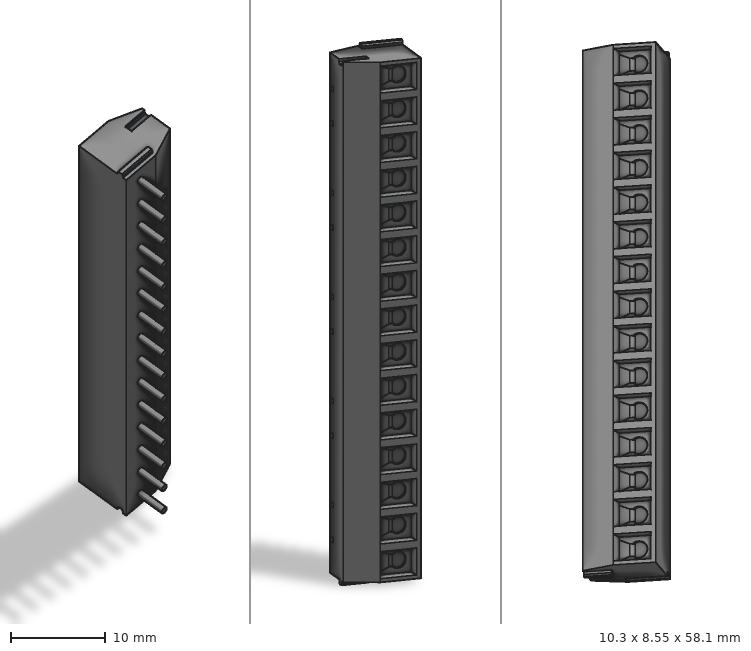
import cadquery as cq
import math

overall_height = 58.15
pole_count = 15

width = 6.8
depth = 8.25
height = 57.15
pitch = height / pole_count
rib_height = (overall_height - height) / 2
base_z = rib_height
top_z = base_z + height
shoulder_y = 4.6
back_left_x = 1.45
back_right_x = 5.45

middle_z = overall_height / 2
first_pole_z = middle_z - (pole_count - 1) * pitch / 2
pole_heights = [first_pole_z + i * pitch for i in range(pole_count)]

rib_bevel = 0.145
rib_flank_height = 0.3
front_rib_x = 5.95
back_rib_x = 2.25
rib_width = 0.8
back_rib_start_y = 5.25
back_slot_width = 0.95
slot_depth = 0.5

window_bottom_y = 0.5
window_floor_bottom_y = 0.65
window_top_y = shoulder_y
window_height = 2.95
window_floor_top_y = 4.25
window_depth = 1.35

hole_y = 2.15
hole_radius = 0.95
hole_depth = 0.35
ramp_start_y = 2.6
ramp_step_y = 3.15
ramp_end_y = window_floor_top_y
ramp_step_depth = 0.03
ramp_narrow_height = 1.4
ramp_wide_height = 2.3

pin_length = 3.5
pin_radius = 0.4
pin_y = 2.15

stud_x = 4.7
stud_radius = 0.3
stud_height = 0.3
stud_group = 3


def make_housing():
    outline = [
        (0, 0),
        (width, 0),
        (width, shoulder_y),
        (back_right_x, depth),
        (back_left_x, depth),
        (0, shoulder_y),
    ]
    return cq.Workplane("XY").workplane(offset=base_z).polyline(outline).close().extrude(height)


def beveled_bar(x, bar_width, root_z, tip_z, start_y, end_y):
    """Bar along Y with upright flanks at the root and beveled edges at the tip."""
    root = bar_width / 2
    tip = root - rib_bevel
    bevel_z = root_z + math.copysign(rib_flank_height, tip_z - root_z)
    section = [
        (x - root, root_z),
        (x + root, root_z),
        (x + root, bevel_z),
        (x + tip, tip_z),
        (x - tip, tip_z),
        (x - root, bevel_z),
    ]
    return cq.Workplane("XZ", origin=(0, start_y, 0)).polyline(section).close().extrude(start_y - end_y)


def make_window(z):
    """Recess whose lower and upper walls (in Y) close in towards the floor."""
    recess = [
        (0, window_bottom_y),
        (window_depth, window_floor_bottom_y),
        (window_depth, window_floor_top_y),
        (0, window_top_y),
    ]
    bottom = cq.Workplane("XY").workplane(offset=z - window_height / 2)
    return bottom.polyline(recess).close().extrude(window_height)


def make_wire_hole(z):
    """Round hole cut off flat on its +Y side, where a two-step flared ramp joins it."""
    floor = cq.Plane.YZ(origin=(window_depth, 0, z))
    half_chord = math.sqrt(hole_radius**2 - (ramp_start_y - hole_y) ** 2)
    hole = (
        cq.Workplane(floor)
        .moveTo(ramp_start_y, -half_chord)
        .threePointArc((hole_y - hole_radius, 0), (ramp_start_y, half_chord))
        .close()
        .extrude(hole_depth)
    )

    narrow = ramp_narrow_height / 2
    wide = ramp_wide_height / 2
    flare = [
        (ramp_start_y, -narrow),
        (ramp_step_y, -narrow),
        (ramp_end_y, -wide),
        (ramp_end_y, wide),
        (ramp_step_y, narrow),
        (ramp_start_y, narrow),
    ]
    slope = [
        (window_depth, ramp_start_y),
        (window_depth + hole_depth, ramp_start_y),
        (window_depth + ramp_step_depth, ramp_step_y),
        (window_depth, ramp_end_y),
    ]
    ramp = cq.Workplane("XY").workplane(offset=z - wide).polyline(slope).close().extrude(ramp_wide_height)
    ramp = ramp.intersect(cq.Workplane(floor).polyline(flare).close().extrude(hole_depth))
    return hole.union(ramp)


def make_pin(z):
    return cq.Workplane("YZ", origin=(width, pin_y, z)).circle(pin_radius).extrude(pin_length)


def make_stud(z):
    cone = cq.Solid.makeCone(stud_radius, 0, stud_height, cq.Vector(stud_x, depth, z), cq.Vector(0, 1, 0))
    return cq.Workplane(obj=cone)


body = make_housing()

slot_floor_low_z = base_z + slot_depth
slot_floor_high_z = top_z - slot_depth
body = body.union(beveled_bar(front_rib_x, rib_width, top_z, overall_height, 0, shoulder_y))
body = body.union(beveled_bar(back_rib_x, rib_width, base_z, 0, back_rib_start_y, depth))
body = body.cut(beveled_bar(front_rib_x, rib_width, base_z, slot_floor_low_z, 0, shoulder_y))
body = body.cut(beveled_bar(back_rib_x, back_slot_width, top_z, slot_floor_high_z, back_rib_start_y, depth))

for pole_z in pole_heights:
    body = body.cut(make_window(pole_z))
    body = body.cut(make_wire_hole(pole_z))
    body = body.union(make_pin(pole_z))

for pole in range(1, pole_count):
    if pole % stud_group != 0:
        boundary_z = pole_heights[-pole] - pitch / 2
        body = body.union(make_stud(boundary_z))

result = body